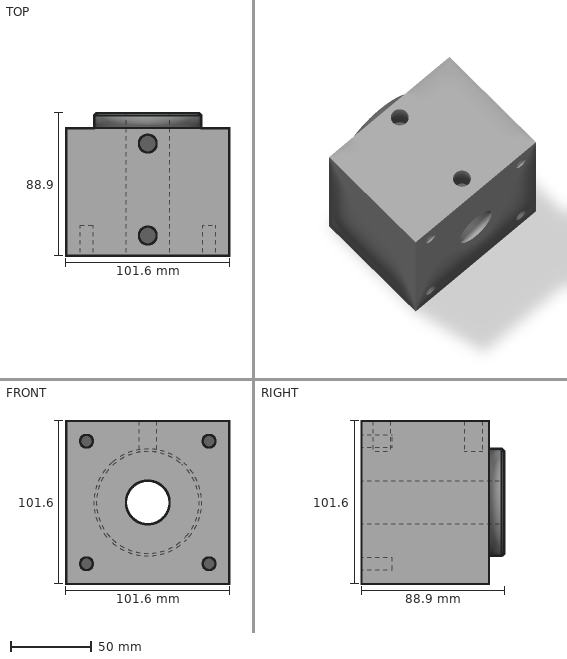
import cadquery as cq

block_side = 101.6
block_length = 79.5

overall_length = 88.9
spigot_length = overall_length - block_length
spigot_diameter = 66.8
spigot_chamfer = 1.6

bore_diameter = 27.0

mount_hole_diameter = 7.94
mount_hole_spacing = 76.2
mount_hole_depth = 19.05

port_diameter = 11.1
port_depth = 19.05
front_port_offset = 12.7
port_spacing = 57.15


def cylinder_along_y(diameter, start_y, length, x=0, z=0):
    """Cylinder running toward +Y from start_y."""
    axis_start = cq.Vector(x, start_y, z)
    return cq.Workplane(cq.Solid.makeCylinder(diameter / 2, length, axis_start, cq.Vector(0, 1, 0)))


def make_body():
    """Block joined to its chamfered spigot."""
    block = cq.Workplane("XY").box(block_side, block_length, block_side, centered=(True, False, True))
    spigot = cylinder_along_y(spigot_diameter, block_length, spigot_length)
    spigot = spigot.faces(">Y").edges().chamfer(spigot_chamfer)
    return block.union(spigot)


def cut_mount_holes(body):
    """Four flat-bottomed holes drilled from the front face."""
    half_spacing = mount_hole_spacing / 2
    for x in (-half_spacing, half_spacing):
        for z in (-half_spacing, half_spacing):
            body = body.cut(cylinder_along_y(mount_hole_diameter, 0, mount_hole_depth, x, z))
    return body


def cut_ports(body):
    """Two flat-bottomed holes drilled down from the top face."""
    for y in (front_port_offset, front_port_offset + port_spacing):
        top_center = cq.Vector(0, y, block_side / 2)
        port = cq.Solid.makeCylinder(port_diameter / 2, port_depth, top_center, cq.Vector(0, 0, -1))
        body = body.cut(cq.Workplane(port))
    return body


body = make_body()
body = body.cut(cylinder_along_y(bore_diameter, 0, overall_length))
body = cut_mount_holes(body)
result = cut_ports(body)